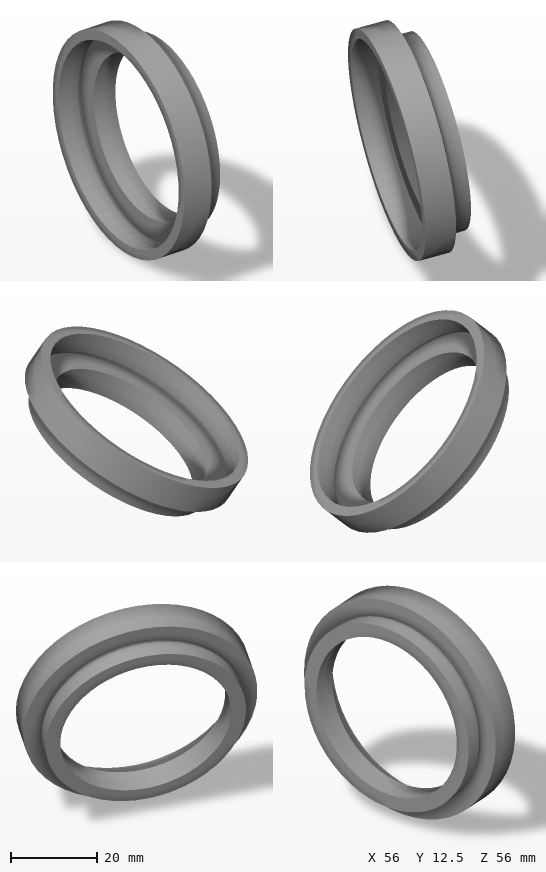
import cadquery as cq

flange_diameter = 56.0
flange_length = 7.5
rim_diameter = 48.0
rim_length = 4.0
bore_diameter = 41.0
recess_diameter = 51.0
recess_depth = 6.5

relief_width = 1.0
relief_depth = 0.5

rim_start = flange_length + relief_width
total_length = rim_start + rim_length
outer_relief_diameter = rim_diameter - 2 * relief_depth
inner_relief_diameter = recess_diameter + 2 * relief_depth


def disc(diameter, start, end):
    """Cylinder on the Y axis from Y = start to Y = end."""
    start_plane = cq.Workplane("XZ", origin=(0, start, 0))
    return start_plane.circle(diameter / 2).extrude(start - end)


def outer_body():
    """Solid stepped outside: front flange, relief groove and rear rim."""
    flange = disc(flange_diameter, 0, flange_length)
    relief = disc(outer_relief_diameter, flange_length, rim_start)
    rim = disc(rim_diameter, rim_start, total_length)
    return flange.union(relief).union(rim)


def inner_space():
    """Stepped opening: through bore, front recess and the undercut at the recess floor."""
    bore = disc(bore_diameter, 0, total_length)
    recess = disc(recess_diameter, 0, recess_depth)
    relief = disc(inner_relief_diameter, recess_depth - relief_width, recess_depth)
    return bore.union(recess).union(relief)


result = outer_body().cut(inner_space())